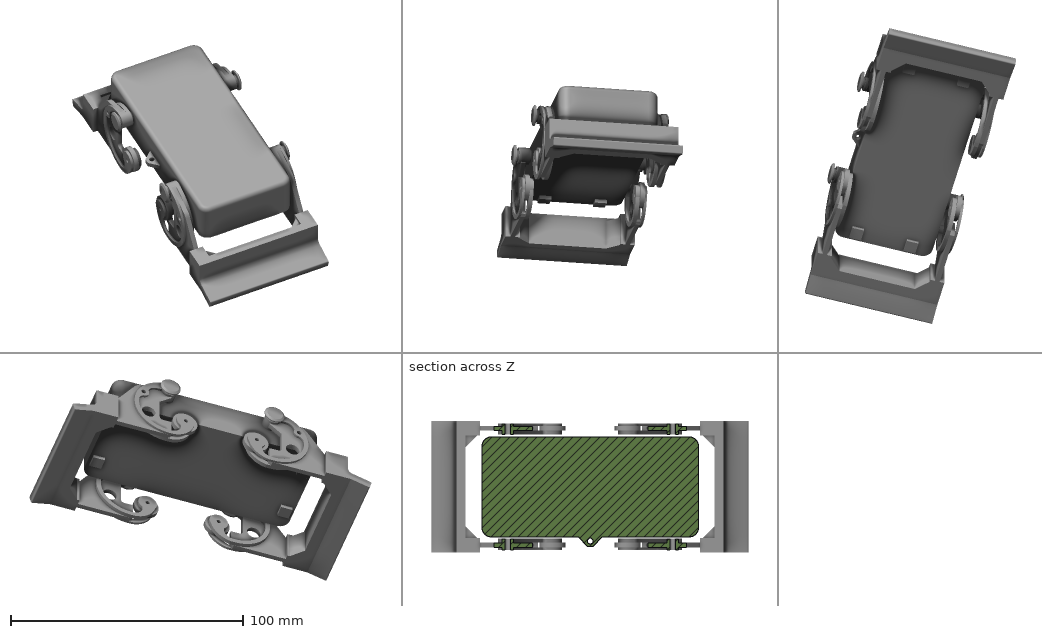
import cadquery as cq
import math


LENGTH = 136.3
PIN_SPAN = 59.0
HEIGHT = 36.8
LOWEST_Z = -2.2

COVER_LENGTH = 93.5
COVER_WIDTH = 43.4
COVER_BOTTOM = 17.2
COVER_TOP = LOWEST_Z + HEIGHT
COVER_CORNER_R = 4.4
COVER_TOP_R = 2.0
PEG_SIZE = 5.2
PEG_HEIGHT = 1.6
PEG_INSET = 1.4
PEG_Y = 12.1
TAB_BOTTOM = 22.6
TAB_THICKNESS = 2.0
TAB_REACH = 4.1
TAB_ROOT_WIDTH = 10.1
TAB_TIP_WIDTH = 2.5
TAB_HOLE_D = 2.3
TAB_HOLE_REACH = 1.6

LEVER_WIDTH = 56.6
BAR_OUTER_X = -57.4
BAR_INNER_X = -53.7
ARM_END_X = -47.5
ARM_WIDTH = 6.3
BAR_HEIGHT = 14.0
GUSSET_LEG = 5.2
GUSSET_DROP = 1.4
FLAP_ANGLE = math.radians(15)
FLAP_THICKNESS = 3.8
FLAP_TIP_R = 0.5
FLAP_ROOT_R = 2.7

PLATE_NEAR_Y = 24.1
PLATE_FAR_Y = 26.2
HOOK_NEAR_Y = 22.4
HOOK_FAR_Y = 27.3
PLATE_SHOULDER_R = 4.8
PLATE_NOTCH_R = 1.5

HOOK_R = 16.0
HOOK_BAND = 2.0
HOOK_X = -23.7
HOOK_Z = HOOK_R
PIN_Z = 28.4
PIN_D = 5.3
PIN_BOSS_R = HOOK_Z + HOOK_R - PIN_Z
HEAD_R = 4.5
HEAD_THICKNESS = 1.1
HEAD_CHAMFER_WIDTH = 1.0
HEAD_CHAMFER_DEPTH = 0.5
ROLLER_X = -16.2
ROLLER_Z = 10.8
ROLLER_R = 5.6
ROLLER_END_R = 4.2
ROLLER_HOLE_D = 1.9
WINDOW_X = -32.9
WINDOW_Z = 11.7
WINDOW_D = 6.1
STUD_X = -35.5
STUD_Z = 22.6
STUD_HOLE_D = 2.2
STUD_BOSS_R = 2.5


def polar(center, radius, degrees):
    """Point on a circle in the XZ plane."""
    angle = math.radians(degrees)
    return (center[0] + radius * math.cos(angle), center[1] + radius * math.sin(angle))


def side_plane(y):
    """XZ sketch plane at -y; extruding grows away from the cover."""
    return cq.Workplane("XZ", origin=(0, -y, 0))


def side_cylinder(x, z, radius, near_y, far_y):
    return side_plane(near_y).center(x, z).circle(radius).extrude(far_y - near_y)


def make_cover():
    height = COVER_TOP - COVER_BOTTOM
    cover = (
        cq.Workplane("XY", origin=(0, 0, COVER_BOTTOM))
        .rect(COVER_LENGTH, COVER_WIDTH)
        .extrude(height)
        .edges("|Z")
        .fillet(COVER_CORNER_R)
        .faces(">Z")
        .edges()
        .fillet(COVER_TOP_R)
    )
    peg_spacing_x = COVER_LENGTH - 2 * PEG_INSET - PEG_SIZE
    pegs = (
        cq.Workplane("XY", origin=(0, 0, COVER_BOTTOM - PEG_HEIGHT))
        .rarray(peg_spacing_x, 2 * PEG_Y, 2, 2)
        .rect(PEG_SIZE, PEG_SIZE)
        .extrude(PEG_HEIGHT)
    )
    return cover.union(pegs)


def make_lanyard_tab():
    root_y = -COVER_WIDTH / 2
    tip_y = root_y - TAB_REACH
    tab = (
        cq.Workplane("XY", origin=(0, 0, TAB_BOTTOM))
        .polyline([
            (-TAB_ROOT_WIDTH / 2, root_y),
            (-TAB_TIP_WIDTH / 2, tip_y),
            (TAB_TIP_WIDTH / 2, tip_y),
            (TAB_ROOT_WIDTH / 2, root_y),
        ])
        .close()
        .extrude(TAB_THICKNESS)
    )
    hole = (
        cq.Workplane("XY", origin=(0, root_y - TAB_HOLE_REACH, TAB_BOTTOM))
        .circle(TAB_HOLE_D / 2)
        .extrude(TAB_THICKNESS)
    )
    return tab.cut(hole)


def make_handle():
    """Bar with a sloping flap outside, two short arms inside and corner gussets."""
    cos_a = math.cos(FLAP_ANGLE)
    sin_a = math.sin(FLAP_ANGLE)
    slope = math.tan(FLAP_ANGLE)
    center_gap = FLAP_THICKNESS - 2 * FLAP_TIP_R
    upper_x = -LENGTH / 2 + FLAP_TIP_R
    lower_z = LOWEST_Z + FLAP_TIP_R
    upper_z = lower_z + center_gap * cos_a
    lower_x = upper_x + center_gap * sin_a
    tip_top = (upper_x - FLAP_TIP_R * (cos_a + sin_a), upper_z + FLAP_TIP_R * (cos_a - sin_a))
    tip_bottom = (lower_x - FLAP_TIP_R * (cos_a - sin_a), lower_z - FLAP_TIP_R * (cos_a + sin_a))
    root_top_z = tip_top[1] + (BAR_OUTER_X - tip_top[0]) * slope
    root_bottom_x = tip_bottom[0] - tip_bottom[1] / slope

    handle = (
        side_plane(-LEVER_WIDTH / 2)
        .polyline([
            (ARM_END_X, 0),
            (ARM_END_X, BAR_HEIGHT),
            (BAR_OUTER_X, BAR_HEIGHT),
            (BAR_OUTER_X, root_top_z),
            tip_top,
            tip_bottom,
            (root_bottom_x, 0),
        ])
        .close()
        .extrude(LEVER_WIDTH)
    )

    def across(point):
        return cq.selectors.NearestToPointSelector((point[0], 0, point[1]))

    handle = handle.edges(across((BAR_OUTER_X, root_top_z))).fillet(FLAP_ROOT_R)
    handle = handle.edges(across(tip_top)).fillet(FLAP_TIP_R)
    handle = handle.edges(across(tip_bottom)).fillet(FLAP_TIP_R)

    arm_inner_y = LEVER_WIDTH / 2 - ARM_WIDTH
    opening = (
        cq.Workplane("XY")
        .moveTo((BAR_INNER_X + ARM_END_X) / 2, 0)
        .rect(ARM_END_X - BAR_INNER_X, 2 * arm_inner_y)
        .extrude(BAR_HEIGHT)
    )
    handle = handle.cut(opening)
    for side in (-1, 1):
        gusset = (
            cq.Workplane("XY")
            .polyline([
                (BAR_INNER_X, side * arm_inner_y),
                (BAR_INNER_X + GUSSET_LEG, side * arm_inner_y),
                (BAR_INNER_X, side * (arm_inner_y - GUSSET_LEG)),
            ])
            .close()
            .extrude(BAR_HEIGHT - GUSSET_DROP)
        )
        handle = handle.union(gusset)
    return handle


def make_plate():
    """Thin web that carries the hook from the handle arm to the pivot pin."""
    shoulder = (-38.5, 27.0)
    boss_top = 31.8
    boss_start = (-25.2, boss_top)
    boss_end = (-22.4, 24.5)
    notch_top = 20.0
    notch_x = -27.8
    notch_z = 8.7
    foot_x = -22.4
    plate = (
        side_plane(PLATE_NEAR_Y)
        .polyline([
            (ARM_END_X, 0),
            (ARM_END_X, BAR_HEIGHT),
            shoulder,
            boss_start,
            (HOOK_X, boss_top),
            boss_end,
            (notch_x, notch_top),
            (notch_x, notch_z),
            (foot_x, notch_z),
            (foot_x, HOOK_BAND / 2),
            (HOOK_X, 0),
        ])
        .close()
        .extrude(PLATE_FAR_Y - PLATE_NEAR_Y)
    )
    mid_y = -(PLATE_NEAR_Y + PLATE_FAR_Y) / 2

    def corner(x, z):
        return cq.selectors.NearestToPointSelector((x, mid_y, z))

    plate = plate.edges(corner(*shoulder)).fillet(PLATE_SHOULDER_R)
    plate = plate.edges(corner(notch_x, notch_z)).fillet(PLATE_NOTCH_R)
    return plate


def make_hook_cheek(near_y, far_y):
    """C-shaped band curling from the pin boss, round the left, to the roller end."""
    center = (HOOK_X, HOOK_Z)
    pin = (HOOK_X, PIN_Z)
    roller = (ROLLER_X, ROLLER_Z)
    stud = (STUD_X, STUD_Z)
    inner_r = HOOK_R - HOOK_BAND
    neck = (-22.8, 6.1)
    neck_r = neck[1] - HOOK_BAND
    heel = (-21.7, 0)
    heel_mid = (-15.4, 3.4)
    below_stud_mid = (-36.7, 19.4)
    above_stud_mid = (-31.8, 26.3)
    above_stud_end = (-29.6, 27.1)
    return (
        side_plane(near_y)
        .moveTo(*polar(center, HOOK_R, 90))
        .threePointArc(polar(center, HOOK_R, 180), polar(center, HOOK_R, 270))
        .lineTo(*heel)
        .threePointArc(heel_mid, polar(roller, ROLLER_END_R, -34))
        .threePointArc(polar(roller, ROLLER_END_R, 90), polar(roller, ROLLER_END_R, 235))
        .threePointArc(polar(neck, neck_r, -45), polar(neck, neck_r, 270))
        .lineTo(*polar(center, inner_r, 270))
        .threePointArc(polar(center, inner_r, 220), polar(center, inner_r, 171))
        .threePointArc(below_stud_mid, polar(stud, STUD_BOSS_R, 270))
        .threePointArc(polar(stud, STUD_BOSS_R, -30), polar(stud, STUD_BOSS_R, 30))
        .threePointArc(above_stud_mid, above_stud_end)
        .lineTo(*polar(pin, PIN_BOSS_R, 197))
        .threePointArc(polar(pin, PIN_BOSS_R, -45), polar(pin, PIN_BOSS_R, 90))
        .close()
        .extrude(far_y - near_y)
    )


def make_pin():
    """Pivot pin from the cover wall out to its bevelled head."""
    tip_y = PIN_SPAN / 2
    head_y = tip_y - HEAD_THICKNESS
    rim_y = tip_y - HEAD_CHAMFER_DEPTH
    face_r = HEAD_R - HEAD_CHAMFER_WIDTH
    shaft = side_cylinder(HOOK_X, PIN_Z, PIN_D / 2, COVER_WIDTH / 2, tip_y)
    rim = side_cylinder(HOOK_X, PIN_Z, HEAD_R, head_y, rim_y)
    bevel = (
        side_plane(rim_y)
        .center(HOOK_X, PIN_Z)
        .circle(HEAD_R)
        .workplane(offset=HEAD_CHAMFER_DEPTH)
        .circle(face_r)
        .loft()
    )
    return shaft.union(rim).union(bevel)


def make_side():
    """Plate, boss and roller in one layer, with a hook cheek on each face of it."""
    side = make_plate()
    for x, z, radius in (
        (HOOK_X, PIN_Z, PIN_BOSS_R),
        (ROLLER_X, ROLLER_Z, ROLLER_R),
    ):
        side = side.union(side_cylinder(x, z, radius, PLATE_NEAR_Y, PLATE_FAR_Y))
    side = side.union(make_hook_cheek(HOOK_NEAR_Y, PLATE_NEAR_Y))
    side = side.union(make_hook_cheek(PLATE_FAR_Y, HOOK_FAR_Y))
    for x, z, diameter in (
        (WINDOW_X, WINDOW_Z, WINDOW_D),
        (STUD_X, STUD_Z, STUD_HOLE_D),
        (ROLLER_X, ROLLER_Z, ROLLER_HOLE_D),
    ):
        side = side.cut(side_cylinder(x, z, diameter / 2, HOOK_NEAR_Y, HOOK_FAR_Y))
    return side.union(make_pin())


side = make_side()
lever = make_handle().union(side).union(side.mirror("XZ"))
result = make_cover().union(make_lanyard_tab()).union(lever).union(lever.mirror("YZ"))